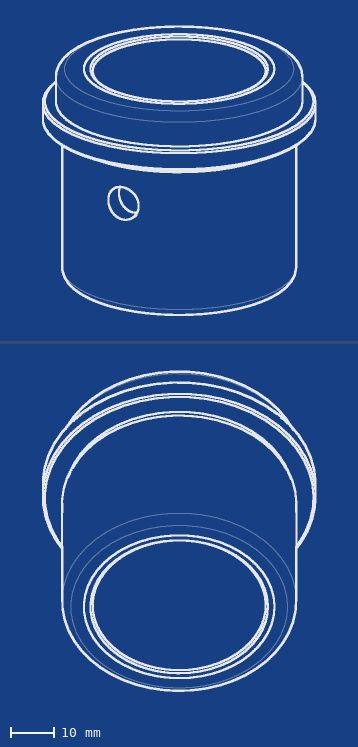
import cadquery as cq
import math

total_height = 51.0
head_height = 8.0
flange_thickness = 5.0
neck_height = 2.0
flange_top = total_height - head_height
flange_bottom = flange_top - flange_thickness
body_top = flange_bottom - neck_height

flange_radius = 31.5
head_radius = 28.45
body_radius = 27.0
neck_depth = 0.6
neck_radius = body_radius - neck_depth
liner_outer_radius = 22.0
bore_radius = 19.95

rim_fillet = 2.0
flange_chamfer = 0.5
liner_chamfer = 0.5

side_hole_diameter = 8.0
side_hole_height = 27.0

neck_arc_radius = (neck_height**2 + neck_depth**2) / (2 * neck_depth)
half_sweep = math.asin(neck_height / neck_arc_radius) / 2
neck_mid_radius = neck_radius + neck_arc_radius * (1 - math.cos(half_sweep))
neck_mid_height = flange_bottom - neck_arc_radius * math.sin(half_sweep)

fillet_mid_inset = rim_fillet * (1 - math.sqrt(0.5))


def revolve_profile(profile):
    """Turn a closed radius-height profile around the Z axis."""
    return profile.close().revolve(360, (0, 0, 0), (0, 1, 0))


def make_housing():
    """Flanged sleeve with rounded ends, an undercut neck and a side hole."""
    profile = (
        cq.Workplane("XZ")
        .moveTo(liner_outer_radius, 0)
        .lineTo(body_radius - rim_fillet, 0)
        .threePointArc(
            (body_radius - fillet_mid_inset, fillet_mid_inset),
            (body_radius, rim_fillet),
        )
        .lineTo(body_radius, body_top)
        .threePointArc((neck_mid_radius, neck_mid_height), (neck_radius, flange_bottom))
        .lineTo(flange_radius - flange_chamfer, flange_bottom)
        .lineTo(flange_radius, flange_bottom + flange_chamfer)
        .lineTo(flange_radius, flange_top - flange_chamfer)
        .lineTo(flange_radius - flange_chamfer, flange_top)
        .lineTo(head_radius, flange_top)
        .lineTo(head_radius, total_height - rim_fillet)
        .threePointArc(
            (head_radius - fillet_mid_inset, total_height - fillet_mid_inset),
            (head_radius - rim_fillet, total_height),
        )
        .lineTo(liner_outer_radius, total_height)
    )
    side_hole = (
        cq.Workplane("XZ")
        .center(0, side_hole_height)
        .circle(side_hole_diameter / 2)
        .extrude(flange_radius)
    )
    return revolve_profile(profile).cut(side_hole)


def make_liner():
    """Plain bushing filling the housing, chamfered at both ends of its bore."""
    profile = (
        cq.Workplane("XZ")
        .moveTo(bore_radius + liner_chamfer, 0)
        .lineTo(liner_outer_radius, 0)
        .lineTo(liner_outer_radius, total_height)
        .lineTo(bore_radius + liner_chamfer, total_height)
        .lineTo(bore_radius, total_height - liner_chamfer)
        .lineTo(bore_radius, liner_chamfer)
    )
    return revolve_profile(profile)


housing = make_housing()
liner = make_liner()

result = cq.Compound.makeCompound([housing.val(), liner.val()])